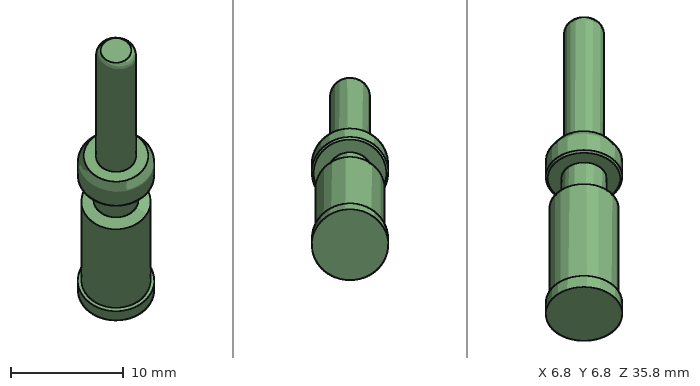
import cadquery as cq

total_height = 35.8
flange_height = 1.4
flange_slope_height = 0.07
body_edge_height = 13.2
body_top_height = 13.55
collar_bottom = 16.97
collar_top = 20.05

flange_radius = 3.4
body_radius = 3.08
neck_radius = 2.0
collar_radius = 3.4
pin_radius = 1.8

collar_bevel_width = 0.55
collar_bevel_height = 0.85
collar_blend_radius = 0.35
collar_lower_chamfer = 0.18
tip_drop = 0.8
tip_inset = 0.43


def make_base():
    """Flange, crimp body and neck, joined by shallow conical shoulders."""
    return (
        cq.Workplane("XZ")
        .lineTo(flange_radius, 0)
        .lineTo(flange_radius, flange_height)
        .lineTo(body_radius, flange_height + flange_slope_height)
        .lineTo(body_radius, body_edge_height)
        .lineTo(neck_radius, body_top_height)
        .lineTo(neck_radius, collar_bottom)
        .lineTo(0, collar_bottom)
        .close()
        .revolve(360, (0, 0, 0), (0, 1, 0))
    )


def make_collar():
    """Collar with a steep upper bevel, blended into its side, and a small lower chamfer."""
    bevel_start = collar_top - collar_bevel_height
    collar = (
        cq.Workplane("XZ")
        .moveTo(0, collar_bottom)
        .lineTo(collar_radius - collar_lower_chamfer, collar_bottom)
        .lineTo(collar_radius, collar_bottom + collar_lower_chamfer)
        .lineTo(collar_radius, bevel_start)
        .lineTo(collar_radius - collar_bevel_width, collar_top)
        .lineTo(0, collar_top)
        .close()
        .revolve(360, (0, 0, 0), (0, 1, 0))
    )
    bevel_edge = cq.selectors.BoxSelector(
        (-2 * collar_radius, -2 * collar_radius, bevel_start - collar_lower_chamfer),
        (2 * collar_radius, 2 * collar_radius, bevel_start + collar_lower_chamfer),
    )
    return collar.edges(bevel_edge).fillet(collar_blend_radius)


def make_pin():
    """Contact pin whose tip rounds in tangentially from the side to a flat end."""
    tip_radius = (tip_inset**2 + tip_drop**2) / (2 * tip_inset)
    mid_drop = tip_drop / 2
    mid_inset = tip_radius - (tip_radius**2 - mid_drop**2) ** 0.5
    tip_start = total_height - tip_drop
    return (
        cq.Workplane("XZ")
        .moveTo(0, collar_top)
        .lineTo(pin_radius, collar_top)
        .lineTo(pin_radius, tip_start)
        .threePointArc(
            (pin_radius - mid_inset, tip_start + mid_drop),
            (pin_radius - tip_inset, total_height),
        )
        .lineTo(0, total_height)
        .close()
        .revolve(360, (0, 0, 0), (0, 1, 0))
    )


result = make_base().union(make_collar()).union(make_pin())